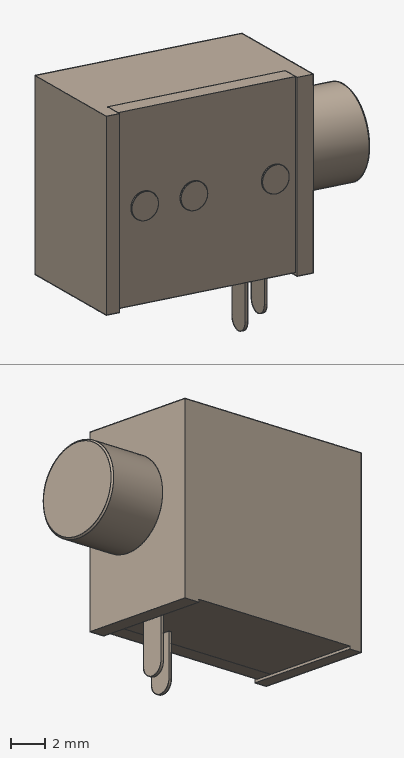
import cadquery as cq

width = 8.1
length = 14.0
height = 12.3

relief_depth = 0.18
front_lug = 0.9
back_lug = 1.1
relief_length = length - front_lug - back_lug

barrel_diameter = 6.0
barrel_length = 4.0
barrel_x = 4.9
barrel_z = 7.0
barrel_chamfer = 0.1

cover_x = 6.75
cover_thickness = width - relief_depth - cover_x
cover_height = height - relief_depth

boss_diameter = 1.8
boss_height = 0.13
boss_positions_y = [2.66, 6.0, 11.5]
boss_z = relief_depth + cover_height / 2

pin_width = 1.5
pin_thickness = 0.2
pin_drop = 3.51
pin_pitch_x = 2.0
pin_pitch_y = 2.5
first_pin_x = 4.0
back_pin_y = 12.69
pin_positions = [
    (first_pin_x, back_pin_y),
    (first_pin_x + pin_pitch_x, back_pin_y - pin_pitch_y),
]


def block(size, corner):
    """Box with its lowest X, Y, Z corner at the given point."""
    return cq.Workplane("XY").box(*size, centered=False).translate(corner)


def make_housing():
    body = block((width, length, height), (0, 0, 0))

    barrel = (
        cq.Workplane("XZ", origin=(barrel_x, length, barrel_z))
        .circle(barrel_diameter / 2)
        .extrude(-barrel_length)
        .faces(">Y")
        .chamfer(barrel_chamfer)
    )

    underside_relief = block((width, relief_length, relief_depth), (0, front_lug, 0))
    cover_pocket = block((width - cover_x, relief_length, height), (cover_x, front_lug, 0))
    return body.union(barrel).cut(underside_relief).cut(cover_pocket)


def make_cover():
    plate = block((cover_thickness, relief_length, cover_height), (cover_x, front_lug, relief_depth))
    for boss_y in boss_positions_y:
        boss = (
            cq.Workplane("YZ", origin=(cover_x + cover_thickness, boss_y, boss_z))
            .circle(boss_diameter / 2)
            .extrude(boss_height)
        )
        plate = plate.union(boss)
    return plate


def make_pin(center_x, front_y):
    """Pin hanging from the relieved underside of the housing."""
    half_width = pin_width / 2
    tip_z = -pin_drop
    return (
        cq.Workplane("XZ", origin=(center_x, front_y, 0))
        .moveTo(-half_width, relief_depth)
        .lineTo(-half_width, tip_z + half_width)
        .threePointArc((0, tip_z), (half_width, tip_z + half_width))
        .lineTo(half_width, relief_depth)
        .close()
        .extrude(-pin_thickness)
    )


housing = make_housing()
cover = make_cover()
pins = [make_pin(center_x, front_y) for center_x, front_y in pin_positions]

result = cq.Compound.makeCompound([housing.val(), cover.val(), *[pin.val() for pin in pins]])